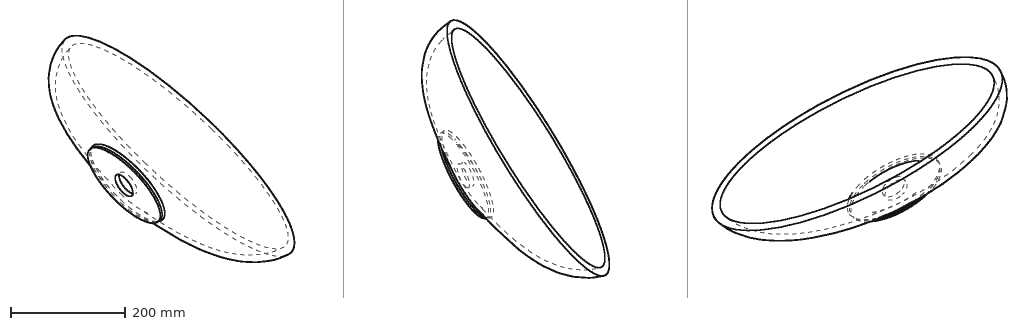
import cadquery as cq

length = 595.0
height = 296.0
depth = 130.0
bowl_depth = 121.0
wall = 16.5
floor_thickness = 9.0
rim_y = depth / 2
base_y = rim_y - bowl_depth
foot_y = rim_y - depth

base_half_x = 97.5
base_half_z = 65.5
foot_half_x = 93.0
foot_half_z = 63.5
flare = 2.0
flare_height = 5.0
drain_diameter = 45.0

bowl_sections = [
    (0, length / 2, height / 2),
    (33.5, 287.0, 138.5),
    (65.5, 262.0, 121.5),
    (92.0, 220.0, 99.5),
    (110.0, 166.5, 78.5),
    (bowl_depth, base_half_x, base_half_z),
]


def oval_plane(y):
    """Workplane at height y whose normal points from the rim towards the foot."""
    return cq.Plane(origin=(0, y, 0), xDir=(1, 0, 0), normal=(0, -1, 0))


def oval_wire(y, half_x, half_z):
    return cq.Workplane(oval_plane(y)).ellipse(half_x, half_z).wires().val()


def bowl_body(body_depth, inset):
    """Smooth bowl of the given depth with its sections drawn in by the inset."""
    depth_ratio = body_depth / bowl_depth
    wires = [
        oval_wire(rim_y - section_depth * depth_ratio, half_x - inset, half_z - inset)
        for section_depth, half_x, half_z in bowl_sections
    ]
    return cq.Workplane(cq.Solid.makeLoft(wires))


cavity_depth = depth - floor_thickness
bowl = bowl_body(bowl_depth, 0).cut(bowl_body(cavity_depth, wall))

plate_top_y = base_y - flare_height
flare_wires = [
    oval_wire(base_y, foot_half_x + flare, foot_half_z + flare),
    oval_wire(plate_top_y, foot_half_x, foot_half_z),
]
foot_flare = cq.Workplane(cq.Solid.makeLoft(flare_wires, True))
foot_plate = (
    cq.Workplane(oval_plane(plate_top_y))
    .ellipse(foot_half_x, foot_half_z)
    .extrude(plate_top_y - foot_y)
)

drain = cq.Workplane(oval_plane(rim_y)).circle(drain_diameter / 2).extrude(depth)

result = bowl.union(foot_flare).union(foot_plate).cut(drain)